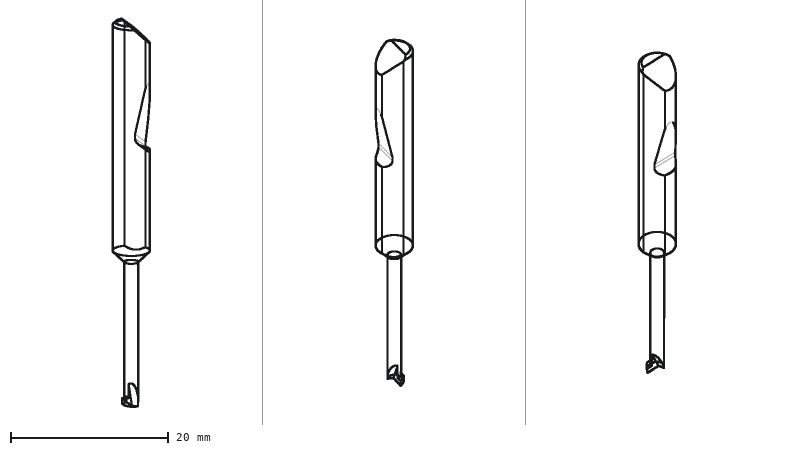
import cadquery as cq
import math

TOTAL_LENGTH = 50.8
SHANK_RADIUS = 2.38
NECK_RADIUS = 0.89
NECK_LENGTH = 19.05
SHANK_CHAMFER = 0.38

FLAT_START_ANGLE = 180
FLAT_END_ANGLE = 109.5

BEVEL_EDGE_Y = -0.58

NOTCH_TOP_Z = 42.3
NOTCH_FLOOR_Y = 1.14
NOTCH_FLOOR_TOP_Z = 35.4
NOTCH_BOTTOM_Z = 33.85
NOTCH_RADIUS = 1.0

TOOTH_HEIGHT = 0.75
TOOTH_REACH = 1.67
TOOTH_HEEL_X = -0.98
TOOTH_RELIEF_RADIUS = 3.0

END_RELIEF_ANGLE_X = 2
END_RELIEF_ANGLE_Y = 5

RELIEF_TOP_Z = 2.58
RELIEF_SLOPE_X = -2.24
RELIEF_SLOPE_Y = 0.77

CLEARANCE = 2 * SHANK_RADIUS


def make_body():
    shank_start = NECK_LENGTH + SHANK_RADIUS - NECK_RADIUS
    return (
        cq.Workplane("XZ")
        .lineTo(NECK_RADIUS, 0)
        .lineTo(NECK_RADIUS, NECK_LENGTH)
        .lineTo(SHANK_RADIUS, shank_start)
        .lineTo(SHANK_RADIUS, TOTAL_LENGTH - SHANK_CHAMFER)
        .lineTo(SHANK_RADIUS - SHANK_CHAMFER, TOTAL_LENGTH)
        .lineTo(0, TOTAL_LENGTH)
        .close()
        .revolve(360, (0, 0, 0), (0, 1, 0))
    )


def make_side_flat():
    mid_angle = (FLAT_START_ANGLE + FLAT_END_ANGLE) / 2
    half_span = math.radians(FLAT_START_ANGLE - FLAT_END_ANGLE) / 2
    chord_distance = SHANK_RADIUS * math.cos(half_span)
    return (
        cq.Workplane("XY")
        .box(CLEARANCE, 2 * CLEARANCE, TOTAL_LENGTH - NECK_LENGTH, centered=(False, True, False))
        .translate((chord_distance, 0, NECK_LENGTH))
        .rotate((0, 0, 0), (0, 0, 1), mid_angle)
    )


def extrude_across(profile):
    return profile.extrude(CLEARANCE, both=True)


def make_top_bevel():
    return extrude_across(
        cq.Workplane("YZ")
        .moveTo(BEVEL_EDGE_Y, TOTAL_LENGTH)
        .lineTo(BEVEL_EDGE_Y + CLEARANCE, TOTAL_LENGTH - CLEARANCE)
        .lineTo(BEVEL_EDGE_Y + CLEARANCE, TOTAL_LENGTH)
        .close()
    )


def make_notch():
    arc_end_y = NOTCH_FLOOR_Y + NOTCH_RADIUS
    return extrude_across(
        cq.Workplane("YZ")
        .moveTo(SHANK_RADIUS, NOTCH_TOP_Z)
        .lineTo(NOTCH_FLOOR_Y, NOTCH_FLOOR_TOP_Z)
        .lineTo(NOTCH_FLOOR_Y, NOTCH_BOTTOM_Z + NOTCH_RADIUS)
        .radiusArc((arc_end_y, NOTCH_BOTTOM_Z), -NOTCH_RADIUS)
        .lineTo(SHANK_RADIUS, NOTCH_BOTTOM_Z)
        .close()
    )


def make_tooth():
    return (
        cq.Workplane("XY")
        .moveTo(-TOOTH_REACH, 0)
        .radiusArc((TOOTH_HEEL_X, -NECK_RADIUS), -TOOTH_RELIEF_RADIUS)
        .lineTo(0, -NECK_RADIUS)
        .lineTo(0, 0)
        .close()
        .extrude(TOOTH_HEIGHT)
    )


def make_tip_relief():
    """Wedge whose wall leans away from the neck axis with height, over the rake plane Y = 0."""
    top_z = 2 * RELIEF_TOP_Z
    wall_shift_y = CLEARANCE * RELIEF_SLOPE_Y / -RELIEF_SLOPE_X

    def section(z):
        wall_x = (z - RELIEF_TOP_Z) / RELIEF_SLOPE_X - NECK_RADIUS
        corners = [
            (wall_x, 0, z),
            (wall_x + wall_shift_y, CLEARANCE, z),
            (-CLEARANCE, CLEARANCE, z),
            (-CLEARANCE, 0, z),
        ]
        return cq.Wire.makePolygon([cq.Vector(*corner) for corner in corners], close=True)

    return cq.Workplane(cq.Solid.makeLoft([section(0), section(top_z)], True))


def make_end_relief():
    """Tilted slab below the tip that leaves only the tooth corner at Z = 0."""
    return (
        cq.Workplane("XY")
        .box(2 * CLEARANCE, 2 * CLEARANCE, CLEARANCE, centered=(True, True, False))
        .translate((0, 0, -CLEARANCE))
        .rotate((0, 0, 0), (0, 1, 0), -END_RELIEF_ANGLE_X)
        .rotate((0, 0, 0), (1, 0, 0), -END_RELIEF_ANGLE_Y)
        .translate((-TOOTH_REACH, 0, 0))
    )


result = (
    make_body()
    .cut(make_side_flat())
    .cut(make_top_bevel())
    .cut(make_notch())
    .cut(make_tip_relief())
    .union(make_tooth())
    .cut(make_end_relief())
)